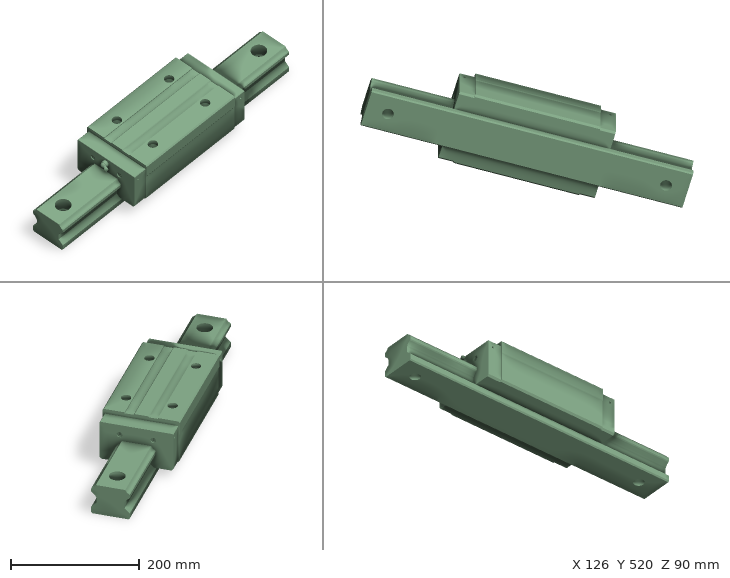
import cadquery as cq
import math

rail_length = 520.0
rail_width = 63.0
rail_height = 53.0
rail_top_width = 48.0
rail_waist_width = 46.0
foot_chamfer = 2.0
foot_top_z = 11.5
waist_low_z = 19.0
waist_high_z = 29.5
lower_race_inner_x = 24.5
lower_race_inner_z = 33.0
head_low_z = 39.5
upper_race_inner_x = 25.0
upper_race_inner_z = 51.5
head_high_z = 45.0
race_edge_chamfer = 1.5
race_sag = 0.5
rail_hole_spacing = 450.0
rail_bore_diameter = 18.0
rail_counterbore_diameter = 26.0
rail_counterbore_depth = 22.0

block_width = 126.0
block_length = 203.0
block_top_z = 90.0
block_bottom_z = 14.0
block_top_chamfer = 2.0
block_bottom_chamfer = 3.0
side_step_depth = 1.0
side_step_z = 65.5
side_step_height = 2.0
groove_inner_x = 11.0
groove_outer_x = 27.0
groove_depth = 1.5
mount_hole_diameter = 16.0
mount_hole_depth = 20.0
mount_spacing_x = 76.0
mount_spacing_y = 120.0

cap_width = 120.0
cap_length = 25.0
cap_top_z = 81.5
cap_top_chamfer = 1.0
screw_x = 27.5
screw_z = 64.0
screw_recess_diameter = 9.5
screw_recess_depth = 2.0
screw_slot_width = 3.0
screw_slot_length = 6.0
screw_slot_depth = 1.5
side_port_diameter = 3.5
side_port_depth = 3.0
side_port_inset = 8.5

nipple_z = 71.0
nipple_body_diameter = 11.5
nipple_body_length = 5.0
nipple_dome_diameter = 10.0
nipple_shank_diameter = 6.0
nipple_shank_length = 8.0
nipple_neck_diameter = 4.5
nipple_neck_length = 9.0
nipple_tip_diameter = 7.0
nipple_tip_length = 3.5
nipple_tip_chamfer = 1.0
nipple_tip_angle = 63.0

cap_face_y = -(block_length / 2 + cap_length)


def mirrored_outline(right_side):
    """Closed wire from right-hand points listed bottom to top, mirrored to the left."""
    left_side = [(-x, z) for x, z in reversed(right_side)]
    return cq.Workplane("XZ").polyline(right_side + left_side).close()


def race_cutter(inner, outer):
    """Circular-segment bar that hollows the straight race flank between two (x, z) points."""
    chord_x = outer[0] - inner[0]
    chord_z = outer[1] - inner[1]
    chord = math.hypot(chord_x, chord_z)
    turn = math.copysign(1, chord_z)
    deepest = (
        (inner[0] + outer[0]) / 2 - turn * chord_z / chord * race_sag,
        (inner[1] + outer[1]) / 2 + turn * chord_x / chord * race_sag,
    )
    segment = cq.Workplane("XZ").moveTo(*inner).threePointArc(deepest, outer).close()
    cutter = segment.extrude(rail_length / 2, both=True)
    return cutter.union(cutter.mirror("YZ"))


def rail_blank():
    half_width = rail_width / 2
    half_top = rail_top_width / 2
    half_waist = rail_waist_width / 2
    race_outer_x = half_width - race_edge_chamfer
    lower_inner = (lower_race_inner_x, lower_race_inner_z)
    lower_outer = (race_outer_x, head_low_z - race_edge_chamfer)
    upper_outer = (race_outer_x, head_high_z + race_edge_chamfer)
    upper_inner = (upper_race_inner_x, upper_race_inner_z)
    right = [
        (half_width - foot_chamfer, 0),
        (half_width, foot_chamfer),
        (half_width, foot_top_z),
        (half_waist, waist_low_z),
        (half_waist, waist_high_z),
        lower_inner,
        lower_outer,
        (half_width, head_low_z),
        (half_width, head_high_z),
        upper_outer,
        upper_inner,
        (half_top, rail_height),
    ]
    blank = mirrored_outline(right).extrude(rail_length / 2, both=True)
    lower_race = race_cutter(lower_inner, lower_outer)
    upper_race = race_cutter(upper_inner, upper_outer)
    return blank.cut(lower_race).cut(upper_race)


def make_rail():
    rail = rail_blank()
    return (
        rail.faces(">Z").workplane(origin=(0, 0, rail_height))
        .pushPoints([(0, -rail_hole_spacing / 2), (0, rail_hole_spacing / 2)])
        .cboreHole(rail_bore_diameter, rail_counterbore_diameter, rail_counterbore_depth)
    )


def block_body():
    half_width = block_width / 2
    lower_half = half_width - side_step_depth
    groove_floor_z = block_top_z - groove_depth
    right = [
        (lower_half - block_bottom_chamfer, block_bottom_z),
        (lower_half, block_bottom_z + block_bottom_chamfer),
        (lower_half, side_step_z),
        (half_width, side_step_z + side_step_height),
        (half_width, block_top_z - block_top_chamfer),
        (half_width - block_top_chamfer, block_top_z),
        (groove_outer_x, block_top_z),
        (groove_outer_x, groove_floor_z),
        (groove_inner_x + groove_depth, groove_floor_z),
        (groove_inner_x, block_top_z),
    ]
    body = mirrored_outline(right).extrude(block_length / 2, both=True)
    mount_holes = (
        cq.Workplane("XY", origin=(0, 0, block_top_z))
        .rect(mount_spacing_x, mount_spacing_y, forConstruction=True)
        .vertices().circle(mount_hole_diameter / 2).extrude(-mount_hole_depth)
    )
    return body.cut(mount_holes)


def cap_pair():
    half_width = cap_width / 2
    right = [
        (half_width - block_bottom_chamfer, block_bottom_z),
        (half_width, block_bottom_z + block_bottom_chamfer),
        (half_width, cap_top_z - cap_top_chamfer),
        (half_width - cap_top_chamfer, cap_top_z),
    ]
    return mirrored_outline(right).extrude(-cap_face_y, both=True)


def screw_recess(x, side):
    """Slotted screw head sunk in the outer face of the cap on the given Y side."""
    face = cq.Workplane("XZ", origin=(x, side * -cap_face_y, screw_z))
    recess = face.circle(screw_recess_diameter / 2).extrude(side * screw_recess_depth)
    slot_end = side * (screw_recess_depth + screw_slot_depth)
    slot = face.rect(screw_slot_width, screw_slot_length).extrude(slot_end)
    return recess.union(slot)


def side_port(x_side, y_side):
    y = y_side * (-cap_face_y - side_port_inset)
    face = cq.Workplane("YZ", origin=(x_side * cap_width / 2, y, nipple_z))
    return face.circle(side_port_diameter / 2).extrude(-x_side * side_port_depth)


def make_carriage():
    carriage = block_body().union(cap_pair()).cut(rail_blank())
    for y_side in (-1, 1):
        for x_side in (-1, 1):
            carriage = carriage.cut(screw_recess(x_side * screw_x, y_side))
            carriage = carriage.cut(side_port(x_side, y_side))
    return carriage.cut(nipple_shank())


def nipple_shank():
    face = cq.Workplane("XZ", origin=(0, cap_face_y, nipple_z))
    return face.circle(nipple_shank_diameter / 2).extrude(-nipple_shank_length)


def make_nipple():
    face = cq.Workplane("XZ", origin=(0, cap_face_y, nipple_z))
    body = face.circle(nipple_body_diameter / 2).extrude(nipple_body_length)
    elbow = (0, cap_face_y - nipple_body_length, nipple_z)
    dome = cq.Workplane("XY", origin=elbow).sphere(nipple_dome_diameter / 2)
    outer_half = face.workplane(offset=nipple_body_length).circle(nipple_body_diameter)
    dome = dome.intersect(outer_half.extrude(nipple_body_diameter))
    angle = math.radians(nipple_tip_angle)
    tip_plane = cq.Plane(elbow, (0, 0, 1), (math.sin(angle), -math.cos(angle), 0))
    neck = cq.Workplane(tip_plane).circle(nipple_neck_diameter / 2).extrude(nipple_neck_length)
    tip_base = cq.Workplane(tip_plane).workplane(offset=nipple_neck_length)
    tip = tip_base.circle(nipple_tip_diameter / 2).extrude(nipple_tip_length)
    tip = tip.faces(cq.selectors.DirectionMinMaxSelector(tip_plane.zDir, True)).chamfer(nipple_tip_chamfer)
    return body.union(dome).union(neck).union(tip).union(nipple_shank())


rail = make_rail()
carriage = make_carriage()
nipple = make_nipple()
result = cq.Compound.makeCompound([rail.val(), carriage.val(), nipple.val()])